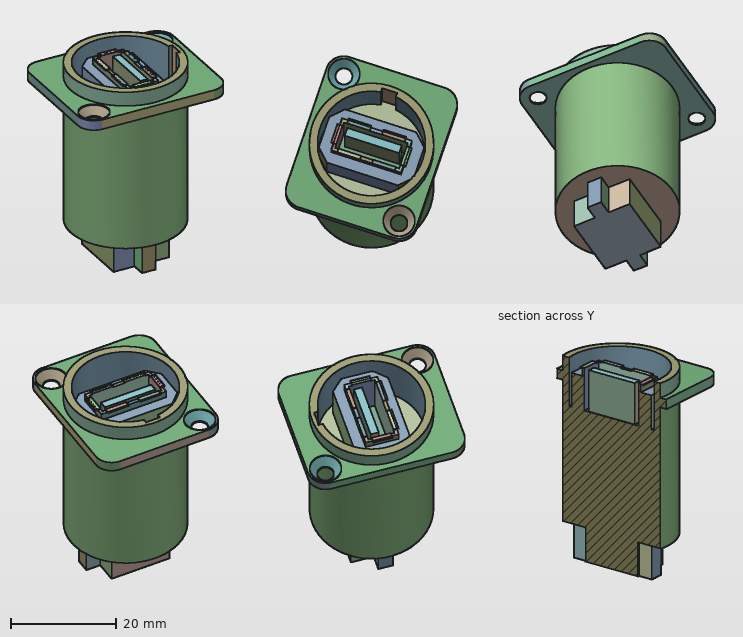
import cadquery as cq


total_height = 41.0
barrel_diameter = 23.65
barrel_length = 34.0
flange_width = 26.0
flange_height = 31.0
flange_thickness = 2.05
flange_corner_radius = 3.45
rim_height = 3.0

hole_offset_x = 9.5
hole_offset_y = 12.0
hole_diameter = 3.2
countersink_diameter = 6.03
countersink_edge = 0.2
hole_land = 0.3

bore_diameter = 20.5
bore_depth = 10.0
key_width = 3.0
key_reach = 10.95

insert_width = 19.02
insert_height = 11.0
insert_chamfer = 2.38

shell_width = 14.02
shell_height = 6.6
shell_rise = 1.48
opening_width = 12.85
opening_height = 5.2
tongue_width = 10.9
tongue_thickness = 1.6
tongue_center_y = 1.02
lip_thickness = 0.2
lip_overhang = 0.33
long_lip_length = 4.55
long_lip_center_x = 3.5
end_lip_length = 3.8
end_lip_overhang = 0.45

plug_width = 18.55
plug_height = 12.0
plug_core_width = 12.55
plug_tab_height = 2.95

flange_top = -rim_height
flange_bottom = flange_top - flange_thickness
shell_top = flange_top + shell_rise


def block(width, height, bottom, top, x=0.0, y=0.0):
    """Box centred on (x, y) and spanning bottom to top in Z."""
    return cq.Workplane("XY", origin=(x, y, bottom)).rect(width, height).extrude(top - bottom)


def cylinder(diameter, bottom, top, x=0.0, y=0.0):
    """Upright cylinder spanning bottom to top in Z."""
    return cq.Workplane("XY", origin=(x, y, bottom)).circle(diameter / 2).extrude(top - bottom)


def mounting_hole(x, y):
    """Through hole whose cone lies between two short straight stretches."""
    cone_top = flange_top - countersink_edge
    cone_bottom = flange_bottom + hole_land
    cone = (
        cq.Workplane("XY", origin=(x, y, cone_bottom))
        .circle(hole_diameter / 2)
        .workplane(offset=cone_top - cone_bottom)
        .circle(countersink_diameter / 2)
        .loft()
    )
    through = cylinder(hole_diameter, flange_bottom, flange_top, x, y)
    edge = cylinder(countersink_diameter, cone_top, flange_top, x, y)
    return through.union(cone).union(edge)


def housing():
    """Barrel and flange with the mounting holes, bore and key slot cut."""
    flange = block(flange_width, flange_height, flange_bottom, flange_top)
    flange = flange.edges("|Z").fillet(flange_corner_radius)
    body = cylinder(barrel_diameter, -barrel_length, 0).union(flange)
    for side in (-1, 1):
        body = body.cut(mounting_hole(side * hole_offset_x, -side * hole_offset_y))
    bore = cylinder(bore_diameter, -bore_depth, 0)
    key_slot = block(key_width, key_reach, -bore_depth, 0, y=key_reach / 2)
    return body.cut(bore).cut(key_slot)


def socket_lips():
    """Thin lips on the shell rim: two along each long side, one at each end."""
    lip_top = shell_top + lip_thickness
    long_lip_depth = (shell_height - opening_height) / 2 + lip_overhang
    long_lip_y = (opening_height + long_lip_depth) / 2
    end_lip_depth = (shell_width - opening_width) / 2 + end_lip_overhang
    end_lip_x = (opening_width + end_lip_depth) / 2
    lips = cq.Workplane("XY")
    for x_side in (-1, 1):
        lips = lips.add(block(end_lip_depth, end_lip_length, shell_top, lip_top, x_side * end_lip_x))
        for y_side in (-1, 1):
            x = x_side * long_lip_center_x
            y = y_side * long_lip_y
            lips = lips.add(block(long_lip_length, long_lip_depth, shell_top, lip_top, x, y))
    return lips.combine()


def usb_insert():
    """Octagonal insert carrying the shell, its lips and the contact tongue."""
    insert = block(insert_width, insert_height, -bore_depth, flange_top)
    insert = insert.edges("|Z").chamfer(insert_chamfer)
    shell = block(shell_width, shell_height, flange_top, shell_top)
    opening = block(opening_width, opening_height, -bore_depth, shell_top)
    tongue = block(tongue_width, tongue_thickness, -bore_depth, shell_top, y=tongue_center_y)
    return insert.union(shell).cut(opening).union(tongue).union(socket_lips())


def rear_plug():
    """Core block with a narrower tab on each X side."""
    core = block(plug_core_width, plug_height, -total_height, -barrel_length)
    tabs = block(plug_width, plug_tab_height, -total_height, -barrel_length)
    return core.union(tabs)


result = housing().union(usb_insert()).union(rear_plug())